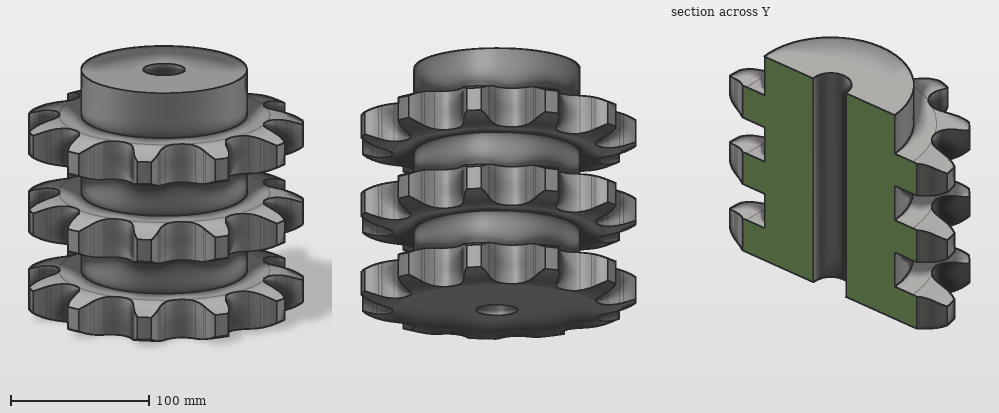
import cadquery as cq
import math


chain_pitch = 50.8
roller_dia = 29.2
strand_spacing = 58.5
strand_count = 3

tooth_count = 11
tip_radius = 100.4
tooth_width = 28.8
flank_round_start_radius = 76.2
flank_round_radius = chain_pitch
hub_dia = 120.0
bore_dia = 30.0
total_height = 180.0
cut_clearance = 4.0

tooth_angle = 360.0 / tooth_count
pitch_radius = chain_pitch / 2 / math.sin(math.radians(tooth_angle / 2))

seat_radius = 1.005 * roller_dia / 2
seat_angle = math.radians(35 + 60 / tooth_count)
working_sweep = math.radians(18 - 56 / tooth_count)
topping_angle = math.radians(17 - 64 / tooth_count)
working_offset = 0.8 * roller_dia
topping_offset = 1.4 * roller_dia
working_radius = working_offset + seat_radius
flat_length = topping_offset * math.sin(topping_angle) - working_offset * math.sin(working_sweep)
topping_radius = (
    working_offset * math.cos(working_sweep)
    + topping_offset * math.cos(topping_angle)
    - working_radius
)


def polar(center, radius, angle):
    """Point at a radius and angle (radians) from a center."""
    return (center[0] + radius * math.cos(angle), center[1] + radius * math.sin(angle))


def mirrored(point):
    """Point reflected across the Y axis, the middle line of the gap."""
    return (-point[0], point[1])


def tooth_gap():
    """Cutter for one gap between teeth, centered on +Y, as tall as a tooth row."""
    seat_center = (0.0, pitch_radius)
    seat_bottom = (0.0, pitch_radius - seat_radius)

    seat_end_angle = math.pi + seat_angle
    seat_end = polar(seat_center, seat_radius, seat_end_angle)
    working_center = polar(seat_center, working_offset, seat_angle)
    flat_normal = seat_end_angle - working_sweep
    working_mid = polar(working_center, working_radius, seat_end_angle - working_sweep / 2)
    working_end = polar(working_center, working_radius, flat_normal)

    flat_end = polar(working_end, flat_length, flat_normal - math.pi / 2)
    topping_center = polar(flat_end, topping_radius, flat_normal)
    center_distance = math.hypot(*topping_center)
    center_direction = math.atan2(topping_center[1], topping_center[0])
    cos_tip = (center_distance**2 + tip_radius**2 - topping_radius**2) / (2 * center_distance * tip_radius)
    tip_angle = center_direction - math.acos(cos_tip)
    tip = polar((0, 0), tip_radius, tip_angle)
    topping_start_angle = flat_normal - math.pi
    topping_end_angle = math.atan2(tip[1] - topping_center[1], tip[0] - topping_center[0])
    topping_mid = polar(topping_center, topping_radius, (topping_start_angle + topping_end_angle) / 2)
    outside = (tip[0], tip_radius + cut_clearance)

    return (
        cq.Workplane("XY")
        .moveTo(*outside)
        .lineTo(*tip)
        .threePointArc(topping_mid, flat_end)
        .lineTo(*working_end)
        .threePointArc(working_mid, seat_end)
        .threePointArc(seat_bottom, mirrored(seat_end))
        .threePointArc(mirrored(working_mid), mirrored(working_end))
        .lineTo(*mirrored(flat_end))
        .threePointArc(mirrored(topping_mid), mirrored(tip))
        .lineTo(*mirrored(outside))
        .close()
        .extrude(tooth_width)
    )


def row_blank():
    """Disc for one tooth row, its upper and lower faces rounded down toward the tips."""
    round_reach = tip_radius - flank_round_start_radius
    tip_drop = flank_round_radius - math.sqrt(flank_round_radius**2 - round_reach**2)
    half_sweep = math.asin(round_reach / flank_round_radius) / 2
    mid_radius = flank_round_start_radius + flank_round_radius * math.sin(half_sweep)
    mid_drop = flank_round_radius * (1 - math.cos(half_sweep))
    return (
        cq.Workplane("XZ")
        .lineTo(flank_round_start_radius, 0)
        .threePointArc((mid_radius, mid_drop), (tip_radius, tip_drop))
        .lineTo(tip_radius, tooth_width - tip_drop)
        .threePointArc((mid_radius, tooth_width - mid_drop), (flank_round_start_radius, tooth_width))
        .lineTo(0, tooth_width)
        .close()
        .revolve(360, (0, 0, 0), (0, 1, 0))
    )


def tooth_row():
    """One row of teeth with its lower face at Z = 0 and a gap centered on +Y."""
    row = row_blank()
    gap = tooth_gap()
    for index in range(tooth_count):
        row = row.cut(gap.rotate((0, 0, 0), (0, 0, 1), index * tooth_angle))
    return row


sprocket = cq.Workplane("XY").circle(hub_dia / 2).extrude(total_height)
teeth = tooth_row()
for strand in range(strand_count):
    sprocket = sprocket.union(teeth.translate((0, 0, strand * strand_spacing)))

result = sprocket.faces(">Z").workplane().hole(bore_dia)